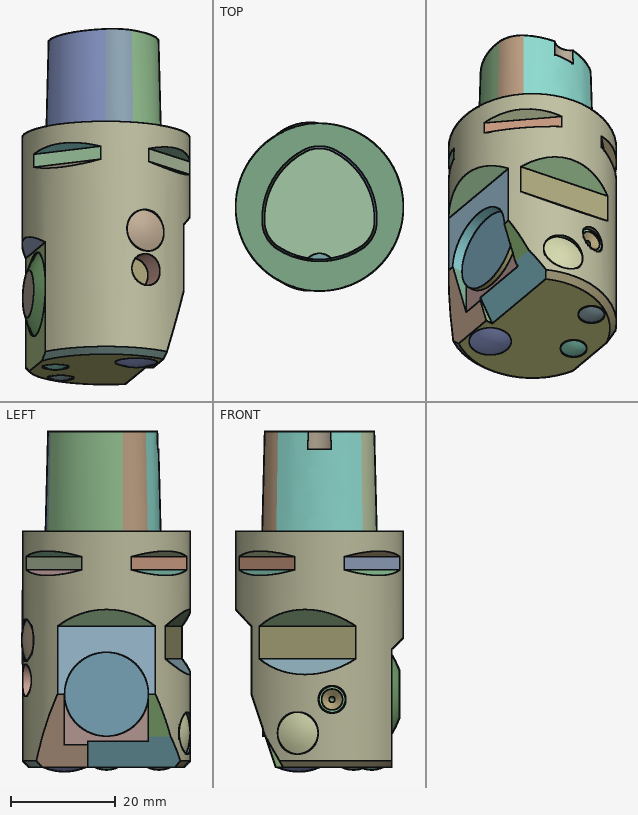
import cadquery as cq
import math


head_diameter = 32.0
head_radius = head_diameter / 2
head_length = 45.0
bottom_chamfer = 1.25
cut_reach = head_diameter

shank_length = 19.0
shank_mean_radius = 11.0
shank_eccentricity = 0.65
shank_taper = 1 / 20
lobe_half_angle = 23.0
key_notch_diameter = 6.0
key_notch_floor = shank_length - 3.4
key_notch_wall_y = -8.8

gripper_angles = (45, 135, 225, 315)
gripper_flat_distance = 14.15
gripper_z = -6.1
gripper_flat_height = 2.5
gripper_flank_rise = (head_radius - gripper_flat_distance) * math.tan(math.radians(30))

flat_distance = 13.0
flat_depth = head_radius - flat_distance
flat_top_z = -18.1
flat_top_rise = 3.2
window_angle = 270 - 10
window_height = 6.2
rear_flat_x = 13.8
rear_flat_top_z = -22.5

slide_diameter = 16.0
slide_z = -31.05
slide_face_x = -10.8
slot_floor_x = -9.78
relief_bottom_x = -8.35
step_y = 3.6
steep_relief_bottom_x = -6.9
steep_relief_angle = 30.0
dial_dome_radius = 14.1
dial_end_x = 15.25

plug_diameter = 8.02
plug_dome_radius = 10.0
plug_length = 4.0
plug_tilt = 15.5
front_plug_z = -38.45
front_plug_apex = 16.2
back_plug_z = -20.75
back_plug_apex = 16.415
bottom_plug_x = -4.0
bottom_plug_y = 8.0
bottom_plug_apex_z = -45.84

screw_diameter = 5.01
screw_dome_radius = 5.0
screw_length = 3.0
screw_apex_z = -45.5
screw_places = ((6.45, -10.0), (9.9, 0.0))

back_hole_diameter = 6.1
back_hole_z = -28.4
back_hole_depth = 5.0

nozzle_diameter = 5.25
nozzle_x = 2.4
nozzle_z = -32.05
nozzle_face_y = -15.2
nozzle_length = 4.0
nozzle_edge_chamfer = 0.12
nozzle_cone_diameter = 4.0
nozzle_jet_diameter = 1.1
nozzle_cone_depth = 1.0
nozzle_jet_depth = 1.0


def shank_point(mean_radius, normal_angle):
    """Point of the polygon curve whose outward normal has this angle; one lobe points to +Y."""
    normal = math.radians(normal_angle)
    phase = 3 * (normal - math.pi / 2)
    reach = mean_radius + shank_eccentricity * math.cos(phase)
    shift = -3 * shank_eccentricity * math.sin(phase)
    x = reach * math.cos(normal) - shift * math.sin(normal)
    y = reach * math.sin(normal) + shift * math.cos(normal)
    return (x, y)


def shank_outline(plane, mean_radius):
    """Closed outline of three tight lobe arcs and three wide arcs between them."""
    outline = plane.moveTo(*shank_point(mean_radius, 90 - lobe_half_angle))
    for lobe in (90, 210, 330):
        outline = outline.threePointArc(
            shank_point(mean_radius, lobe),
            shank_point(mean_radius, lobe + lobe_half_angle),
        )
        outline = outline.threePointArc(
            shank_point(mean_radius, lobe + 60),
            shank_point(mean_radius, lobe + 120 - lobe_half_angle),
        )
    return outline.close()


def make_shank():
    top_radius = shank_mean_radius - shank_length * shank_taper / 2
    base = shank_outline(cq.Workplane("XY"), shank_mean_radius)
    shank = shank_outline(base.workplane(offset=shank_length), top_radius).loft(ruled=True)
    notch = (
        cq.Workplane("XY", origin=(0, 0, key_notch_floor))
        .center(0, key_notch_wall_y - key_notch_diameter / 2)
        .circle(key_notch_diameter / 2)
        .extrude(shank_length)
    )
    return shank.cut(notch)


def side_cutter(points, angle):
    """Prism across the head from a (distance, z) profile, facing the given direction."""
    prism = cq.Workplane("XZ").polyline(points).close().extrude(cut_reach, both=True)
    return prism.rotate((0, 0, 0), (0, 0, 1), angle)


def groove_cutter(distance, top_z, bottom_z, top_rise, bottom_rise, angle):
    """Flat-bottomed groove with sloping flanks that reach the head surface."""
    points = [
        (distance, top_z),
        (head_radius, top_z + top_rise),
        (cut_reach, top_z + top_rise),
        (cut_reach, bottom_z - bottom_rise),
        (head_radius, bottom_z - bottom_rise),
        (distance, bottom_z),
    ]
    return side_cutter(points, angle)


def front_face_cutter():
    """-X flat that runs into the relief plane below the slide centre."""
    points = [
        (flat_distance, flat_top_z),
        (head_radius, flat_top_z + flat_top_rise),
        (cut_reach, flat_top_z + flat_top_rise),
        (cut_reach, -head_length),
        (-relief_bottom_x, -head_length),
        (flat_distance, slide_z),
    ]
    return side_cutter(points, 180)


def steep_relief_cutter():
    """Steeper relief plane, on the -Y side of the step only."""
    height = (cut_reach + steep_relief_bottom_x) / math.tan(math.radians(steep_relief_angle))
    points = [
        (steep_relief_bottom_x, -head_length),
        (-cut_reach, -head_length),
        (-cut_reach, -head_length + height),
    ]
    return cq.Workplane("XZ", origin=(0, step_y, 0)).polyline(points).close().extrude(cut_reach)


def rear_face_cutter():
    """+X flat that runs out of the bottom, below a 45 degree flank."""
    points = [
        (rear_flat_x, rear_flat_top_z),
        (cut_reach, rear_flat_top_z + cut_reach - rear_flat_x),
        (cut_reach, -head_length),
        (rear_flat_x, -head_length),
    ]
    return side_cutter(points, 0)


def radial_plane(angle, z):
    """Plane on the head axis that faces outward in the given direction."""
    direction = math.radians(angle)
    normal = (math.cos(direction), math.sin(direction), 0)
    return cq.Plane(origin=(0, 0, z), xDir=(0, 0, 1), normal=normal)


def down_plane(x, y):
    return cq.Plane(origin=(x, y, 0), xDir=(1, 0, 0), normal=(0, 0, -1))


def dome_rim(diameter, dome_radius, apex):
    """Distance along the axis at which the dome meets the plug's side."""
    return apex - dome_radius + math.sqrt(dome_radius**2 - (diameter / 2) ** 2)


def make_plug(plane, diameter, dome_radius, apex, length):
    """Round plug along the plane's normal, with its domed end at the apex distance."""
    rim = dome_rim(diameter, dome_radius, apex)
    base = cq.Workplane(plane).workplane(offset=rim - length)
    blank = base.circle(diameter / 2).extrude(length + diameter)
    ball = cq.Workplane(plane).workplane(offset=apex - dome_radius).sphere(dome_radius)
    return blank.intersect(ball)


def plug_hole(plane, diameter, dome_radius, apex, length):
    """Hole that holds a plug and opens to the outside."""
    floor = dome_rim(diameter, dome_radius, apex) - length
    return cq.Workplane(plane).workplane(offset=floor).circle(diameter / 2).extrude(cut_reach)


front_direction = 270 - plug_tilt
back_direction = 90 + plug_tilt

plug_body = (plug_diameter, plug_dome_radius)
front_plug_fit = (radial_plane(front_direction, front_plug_z), *plug_body, front_plug_apex, plug_length)
back_plug_fit = (radial_plane(back_direction, back_plug_z), *plug_body, back_plug_apex, plug_length)
bottom_plug_fit = (down_plane(bottom_plug_x, bottom_plug_y), *plug_body, -bottom_plug_apex_z, plug_length)
screw_fits = [
    (down_plane(x, y), screw_diameter, screw_dome_radius, -screw_apex_z, screw_length)
    for x, y in screw_places
]
plug_fits = [front_plug_fit, back_plug_fit, bottom_plug_fit, *screw_fits]


def along_x(start_x):
    return cq.Workplane("YZ", origin=(start_x, 0, slide_z))


def make_slide():
    """Round slide through the head; its +X end is a cut-off dome that serves as the dial."""
    dome_centre_x = head_radius - dial_dome_radius
    slide_radius = slide_diameter / 2
    rim_x = dome_centre_x + math.sqrt(dial_dome_radius**2 - slide_radius**2)
    stem = along_x(slide_face_x).circle(slide_radius).extrude(rim_x - slide_face_x)
    dial = along_x(rim_x).circle(slide_radius).extrude(dial_end_x - rim_x)
    dome = along_x(dome_centre_x).sphere(dial_dome_radius)
    return stem.union(dial.intersect(dome))


def nozzle_blank(length):
    plane = cq.Workplane("XZ", origin=(nozzle_x, nozzle_face_y + nozzle_length, nozzle_z))
    return plane.circle(nozzle_diameter / 2).extrude(length)


def make_nozzle():
    """Short plug with a conical mouth that narrows to a pointed jet hole."""
    body = nozzle_blank(nozzle_length).faces("<Y").chamfer(nozzle_edge_chamfer)
    jet_radius = nozzle_jet_diameter / 2
    jet_end = nozzle_cone_depth + nozzle_jet_depth
    mouth = (
        cq.Workplane("XY")
        .polyline(
            [
                (0, 0),
                (nozzle_cone_diameter / 2, 0),
                (jet_radius, nozzle_cone_depth),
                (jet_radius, jet_end),
                (0, jet_end + jet_radius),
            ]
        )
        .close()
        .revolve(360, (0, 0, 0), (0, 1, 0))
        .translate((nozzle_x, nozzle_face_y, nozzle_z))
    )
    return body.cut(mouth)


def make_housing():
    housing = cq.Workplane("XY").circle(head_radius).extrude(-head_length)
    housing = housing.faces("<Z").chamfer(bottom_chamfer)
    housing = housing.union(make_shank())

    gripper_top_z = gripper_z + gripper_flat_height / 2
    gripper_bottom_z = gripper_z - gripper_flat_height / 2
    for angle in gripper_angles:
        housing = housing.cut(
            groove_cutter(
                gripper_flat_distance,
                gripper_top_z,
                gripper_bottom_z,
                gripper_flank_rise,
                gripper_flank_rise,
                angle,
            )
        )

    window_bottom_z = flat_top_z - window_height
    housing = housing.cut(
        groove_cutter(flat_distance, flat_top_z, window_bottom_z, flat_top_rise, flat_depth, window_angle)
    )
    housing = housing.cut(front_face_cutter())
    housing = housing.cut(steep_relief_cutter())
    housing = housing.cut(rear_face_cutter())

    bore = along_x(-cut_reach).circle(slide_diameter / 2).extrude(2 * cut_reach)
    slot = (
        along_x(slot_floor_x)
        .center(0, -cut_reach / 2)
        .rect(slide_diameter, cut_reach)
        .extrude(-cut_reach)
    )
    housing = housing.cut(bore).cut(slot)

    for fit in plug_fits:
        housing = housing.cut(plug_hole(*fit))
    housing = housing.cut(nozzle_blank(cut_reach))
    back_hole = (
        cq.Workplane(radial_plane(back_direction, back_hole_z))
        .workplane(offset=head_radius - back_hole_depth)
        .circle(back_hole_diameter / 2)
        .extrude(cut_reach)
    )
    return housing.cut(back_hole)


housing = make_housing()
slide = make_slide()
nozzle = make_nozzle()
plugs = [make_plug(*fit) for fit in plug_fits]

result = cq.Compound.makeCompound(
    [housing.val(), slide.val(), nozzle.val(), *(plug.val() for plug in plugs)]
)